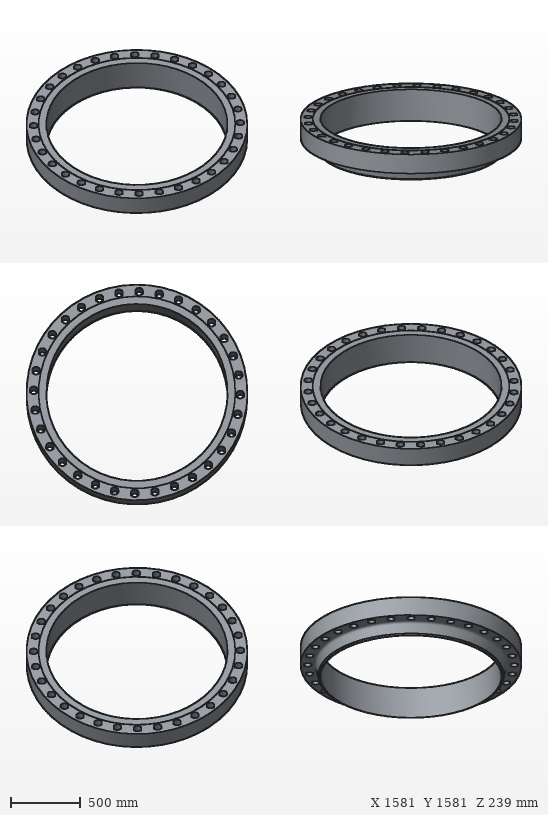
import cadquery as cq

flange_diameter = 1581.0
total_height = 239.0
bore_diameter = 1297.0

flange_bottom = 93.0
raised_face_height = 2.0
raised_face_diameter = 1407.0
flange_top = total_height - raised_face_height

hub_top_radius = 681.0
hub_end_radius = 664.0
hub_fillet = 17.0
bevel_height = 10.0
bevel_width = 11.0

bolt_count = 32
bolt_circle_diameter = 1478.0
bolt_hole_diameter = 55.0


def ring_body():
    """Revolve the half section of the flange and hub about Z."""
    bore_radius = bore_diameter / 2
    flange_radius = flange_diameter / 2
    raised_face_radius = raised_face_diameter / 2
    section = (
        cq.Workplane("XZ")
        .moveTo(bore_radius, 0)
        .lineTo(hub_end_radius - bevel_width, 0)
        .lineTo(hub_end_radius, bevel_height)
        .lineTo(hub_top_radius, flange_bottom)
        .lineTo(flange_radius, flange_bottom)
        .lineTo(flange_radius, flange_top)
        .lineTo(raised_face_radius, flange_top)
        .lineTo(raised_face_radius, total_height)
        .lineTo(bore_radius, total_height)
        .close()
    )
    body = section.revolve(360, (0, 0, 0), (0, 1, 0))
    hub_root = cq.selectors.RadiusNthSelector(3)
    return body.edges(hub_root).fillet(hub_fillet)


def bolt_holes():
    """Cylinders through the flange, evenly spaced on the bolt circle."""
    return (
        cq.Workplane("XY")
        .polarArray(bolt_circle_diameter / 2, 0, 360, bolt_count)
        .circle(bolt_hole_diameter / 2)
        .extrude(total_height)
    )


result = ring_body().cut(bolt_holes())